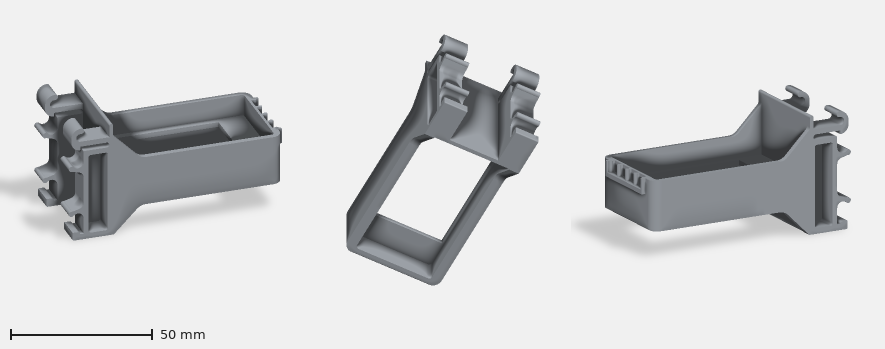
import cadquery as cq
import math

width = 37.3
length = 81.4
height = 43.7
half_width = width / 2

tray_bottom = 10.0
tray_top = 28.6
tray_back = 79.9
tray_corner_radius = 3.7
tray_back_bottom_radius = 0.5
side_wall = 2.1
back_wall = 2.45
cavity_depth = 8.05
cavity_corner_radius = 1.05
floor_thickness = 1.8
window_width = 28.2
window_front = 26.9
window_back = 67.2
lower_cavity_width = 29.8

plate_front = 15.05
plate_back = 16.5
plate_tip_radius = (plate_back - plate_front) / 2
shoulder_y = 26.8
shoulder_radius = 4.7
fin_root_radius = 1.6

leg_width = 9.0
block_top = 34.7
block_corner_radius = 0.3
arm_bottom = 36.6
arm_top = 38.6
foot_front = 1.4
foot_top = 3.1
foot_floor = 2.1
foot_notch_back = 4.2
foot_corner_radius = 0.4

hook_front = 0.9
hook_tip_thickness = 2.1
hook_lip_bottom = 35.25
hook_shoulder_z = 40.0

seat_radius = 2.2
prong_tip_thickness = 2.0
prong_tip_radius = prong_tip_thickness / 2
upper_seat_z = 30.45
lower_seat_z = 8.2
prong_slope = math.radians(15)
prong_root_radius = 2.2

pocket_front = 7.3
pocket_back = 14.5
pocket_bottom = 2.1
pocket_top = 32.7
pocket_depth = 7.8
pocket_corner_radius = 0.8

comb_half_width = 13.1
comb_bottom = 22.8
comb_floor_top = 24.4
comb_slot_front = 78.5
end_rib_x = 12.0
ribs_per_side = 2
rib_pitch = end_rib_x / ribs_per_side
rib_tip = 80.7
rib_bulb_radius = 0.77
rib_neck_width = 1.0
nib_width = 1.0

tip_offset = (seat_radius + prong_tip_radius) * math.sin(math.radians(45))
seat_y = prong_tip_radius + tip_offset
leg_face = seat_y + seat_radius


def box(x0, x1, y0, y1, z0, z1):
    return cq.Workplane("XY").box(x1 - x0, y1 - y0, z1 - z0, centered=False).translate((x0, y0, z0))


def centered_box(x_size, y0, y1, z0, z1):
    return box(-x_size / 2, x_size / 2, y0, y1, z0, z1)


def on_both_sides(solid):
    return solid.union(solid.mirror("YZ"))


def polar(center, radius, degrees):
    angle = math.radians(degrees)
    return (center[0] + radius * math.cos(angle), center[1] + radius * math.sin(angle))


def round_x_edge(solid, y, z, radius):
    """Round the edges along X that pass through (y, z)."""
    search_reach = 0.1
    corner = cq.selectors.BoxSelector(
        (-width, y - search_reach, z - search_reach), (width, y + search_reach, z + search_reach)
    )
    return solid.edges("|X").edges(corner).fillet(radius)


def tray_and_plate():
    fin_root_z = tray_top + shoulder_y - plate_back
    body = (
        cq.Workplane("YZ", origin=(-half_width, 0, 0))
        .moveTo(plate_front, 0)
        .lineTo(shoulder_y - tray_bottom, 0)
        .lineTo(shoulder_y, tray_bottom)
        .lineTo(tray_back, tray_bottom)
        .lineTo(tray_back, tray_top)
        .lineTo(shoulder_y, tray_top)
        .lineTo(plate_back, fin_root_z)
        .lineTo(plate_back, height - plate_tip_radius)
        .threePointArc(
            ((plate_front + plate_back) / 2, height),
            (plate_front, height - plate_tip_radius),
        )
        .close()
        .extrude(width)
    )
    body = round_x_edge(body, shoulder_y, tray_bottom, shoulder_radius)
    body = round_x_edge(body, shoulder_y, tray_top, shoulder_radius)
    body = round_x_edge(body, plate_back, fin_root_z, fin_root_radius)
    body = round_x_edge(body, tray_back, tray_bottom, tray_back_bottom_radius)

    plan = centered_box(width, plate_front, tray_back, 0, height)
    plan = plan.edges("|Z and >Y").fillet(tray_corner_radius)
    body = body.intersect(plan)

    floor_top = tray_top - cavity_depth
    floor_bottom = floor_top - floor_thickness
    cavity_back = tray_back - back_wall

    def cavity(x_size, z0, z1):
        hollow = centered_box(x_size, plate_back, cavity_back, z0, z1)
        return hollow.edges("|Z and >Y").fillet(cavity_corner_radius)

    upper_cavity = cavity(width - 2 * side_wall, floor_top, height)
    lower_cavity = cavity(lower_cavity_width, 0, floor_bottom)
    window = centered_box(window_width, window_front, window_back, floor_bottom, floor_top)
    return body.cut(upper_cavity).cut(lower_cavity).cut(window)


def leg_block():
    """Block, foot, slotted arm and hook, as one YZ outline that runs through the plate."""
    foot_nose = foot_top - foot_floor
    slot_radius = (arm_bottom - block_top) / 2
    slot_end_y = plate_front - slot_radius

    lip_radius = arm_top - hook_lip_bottom
    lip_center = (hook_front + lip_radius, arm_top)
    crown_radius = height - hook_shoulder_z
    crown_center = (hook_front + crown_radius, hook_shoulder_z)
    tip_bottom = height - hook_tip_thickness
    tip_end = crown_center[0] + hook_tip_thickness / 2
    throat_radius = (tip_bottom - arm_top) / 2
    throat_center = (lip_center[0], arm_top + throat_radius)

    leg = (
        cq.Workplane("YZ", origin=(half_width - leg_width, 0, 0))
        .moveTo(plate_back, 0)
        .lineTo(foot_front, 0)
        .lineTo(foot_front, foot_top)
        .lineTo(foot_notch_back - foot_nose, foot_top)
        .threePointArc(
            polar((foot_notch_back - foot_nose, foot_floor), foot_nose, 45),
            (foot_notch_back, foot_floor),
        )
        .lineTo(leg_face, foot_floor)
        .lineTo(leg_face, block_top)
        .lineTo(slot_end_y, block_top)
        .threePointArc((plate_front, block_top + slot_radius), (slot_end_y, arm_bottom))
        .lineTo(lip_center[0], arm_bottom)
        .lineTo(lip_center[0], hook_lip_bottom)
        .threePointArc(polar(lip_center, lip_radius, 225), (hook_front, arm_top))
        .lineTo(hook_front, hook_shoulder_z)
        .threePointArc(polar(crown_center, crown_radius, 135), (crown_center[0], height))
        .threePointArc(
            (tip_end, height - hook_tip_thickness / 2),
            (crown_center[0], tip_bottom),
        )
        .lineTo(throat_center[0], tip_bottom)
        .threePointArc(polar(throat_center, throat_radius, 180), (throat_center[0], arm_top))
        .lineTo(plate_back, arm_top)
        .close()
        .extrude(leg_width)
    )
    leg = round_x_edge(leg, foot_front, 0, foot_corner_radius)
    return round_x_edge(leg, leg_face, block_top, block_corner_radius)


def prong(seat_z, up):
    """Snap prong with a round seat; up is 1 when the seat opens upward, -1 when downward."""
    tip_center = (prong_tip_radius, -tip_offset)
    tip_slope_side = (
        tip_center[0] + prong_tip_radius * math.sin(prong_slope),
        tip_center[1] - prong_tip_radius * math.cos(prong_slope),
    )
    root_z = tip_slope_side[1] - (leg_face - tip_slope_side[0]) * math.tan(prong_slope)

    root_turn = math.pi / 2 - prong_slope
    root_reach = prong_root_radius * math.tan(root_turn / 2)
    root_start = (
        leg_face - root_reach * math.cos(prong_slope),
        root_z + root_reach * math.sin(prong_slope),
    )
    root_end = (leg_face, root_z - root_reach)
    root_center = (leg_face - prong_root_radius, root_end[1])
    root_mid = polar(root_center, prong_root_radius, math.degrees(root_turn / 2))

    def place(point):
        return (point[0], seat_z + up * point[1])

    seat_center = (seat_y, 0)
    embedded_y = pocket_front
    return (
        cq.Workplane("YZ", origin=(half_width - leg_width, 0, 0))
        .moveTo(*place((embedded_y, 0)))
        .lineTo(*place((leg_face, 0)))
        .threePointArc(
            place(polar(seat_center, seat_radius, -70)),
            place(polar(seat_center, seat_radius, -135)),
        )
        .threePointArc(place((0, tip_center[1])), place(tip_slope_side))
        .lineTo(*place(root_start))
        .threePointArc(place(root_mid), place(root_end))
        .lineTo(*place((embedded_y, root_end[1])))
        .close()
        .extrude(leg_width)
    )


def leg_pocket():
    pocket = box(
        half_width - pocket_depth, half_width,
        pocket_front, pocket_back, pocket_bottom, pocket_top,
    )
    return pocket.edges("|X").fillet(pocket_corner_radius)


def legs():
    leg = leg_block()
    leg = leg.union(prong(upper_seat_z, 1))
    leg = leg.union(prong(lower_seat_z, -1))
    return on_both_sides(leg.cut(leg_pocket()))


def comb_rib(x):
    bulb_y = rib_tip - rib_bulb_radius
    neck = box(
        x - rib_neck_width / 2, x + rib_neck_width / 2,
        comb_slot_front, bulb_y, comb_bottom, tray_top,
    )
    bulb = (
        cq.Workplane("XY", origin=(x, bulb_y, comb_bottom))
        .circle(rib_bulb_radius)
        .extrude(tray_top - comb_bottom)
    )
    return neck.union(bulb)


def add_comb(body):
    shelf = centered_box(2 * comb_half_width, comb_slot_front, length, comb_bottom, comb_floor_top)
    slot = centered_box(2 * end_rib_x, comb_slot_front, length, comb_floor_top, tray_top)
    ear = box(end_rib_x, comb_half_width, comb_slot_front, rib_tip, comb_bottom, tray_top)
    nib = box(
        comb_half_width - nib_width, comb_half_width,
        comb_slot_front, length, comb_bottom, tray_top,
    )
    body = body.cut(slot).union(shelf).union(on_both_sides(ear.union(nib)))
    for index in range(-ribs_per_side, ribs_per_side + 1):
        body = body.union(comb_rib(index * rib_pitch))
    return body


result = add_comb(tray_and_plate()).union(legs())